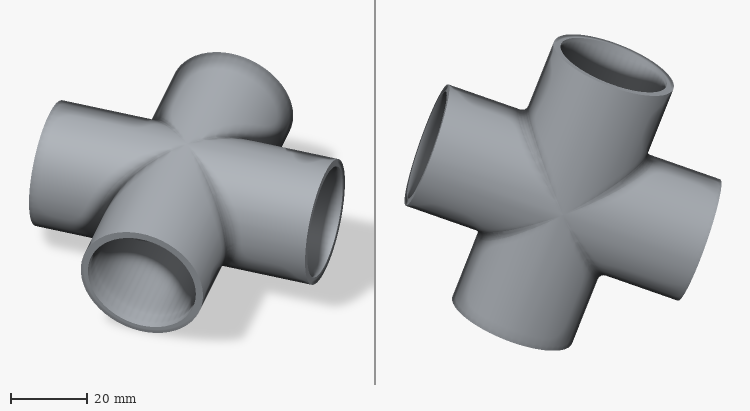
import cadquery as cq

overall_length = 76
outer_diameter = 33.7
bore_diameter = 29.7
crotch_fillet_radius = 2.05


def crossing_cylinders(diameter):
    along_x = cq.Workplane("YZ").circle(diameter / 2).extrude(overall_length / 2, both=True)
    along_y = cq.Workplane("XZ").circle(diameter / 2).extrude(overall_length / 2, both=True)
    return along_x.union(along_y)


outside = crossing_cylinders(outer_diameter)
outside = outside.edges("%ELLIPSE").fillet(crotch_fillet_radius)

result = outside.cut(crossing_cylinders(bore_diameter))